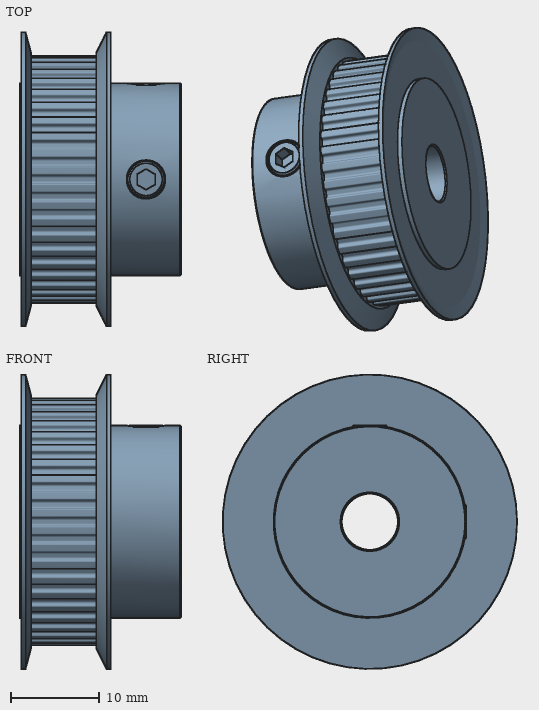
import cadquery as cq
import math


total_length = 18.27
front_flange_start = 0.15
front_recess_floor = 0.55
teeth_start = 1.27
teeth_end = 8.65
rear_flange_end = 10.32
flange_rim_width = 0.5
teeth_length = teeth_end - teeth_start

flange_radius = 16.7
flange_root_radius = 14.35
recess_radius = 15.25
hub_radius = 10.92
bore_radius = 3.17
hub_chamfer = 0.15
bore_chamfer = 0.17

tooth_count = 44
tip_radius = 14.03
groove_depth = 0.5
groove_floor_width = 0.75
groove_flank_angle = 20.0
groove_floor_fillet = 0.27
tooth_tip_fillet = 0.17

screw_angles = (0, -90)
screw_x = 14.3
screw_radius = 2.07
screw_chamfer = 0.25
screw_length = hub_radius - bore_radius
screw_hole_mouth_radius = 2.2
socket_width = 2.05
socket_depth = 2.0


def revolve_about_shaft(outline):
    return cq.Workplane("XY").polyline(outline).close().revolve(360, (0, 0, 0), (1, 0, 0))


def turn_about_shaft(body, angle):
    return body.rotate((0, 0, 0), (1, 0, 0), angle)


def make_turned_body():
    """Boss, both flanges, tooth core and hub, without the bore."""
    front_rim_end = front_flange_start + flange_rim_width
    rear_rim_start = rear_flange_end - flange_rim_width
    return revolve_about_shaft([
        (0, 0),
        (0, hub_radius),
        (front_recess_floor, hub_radius),
        (front_recess_floor, recess_radius),
        (front_flange_start, flange_radius),
        (front_rim_end, flange_radius),
        (teeth_start, flange_root_radius),
        (teeth_start, hub_radius),
        (teeth_end, hub_radius),
        (teeth_end, flange_root_radius),
        (rear_rim_start, flange_radius),
        (rear_flange_end, flange_radius),
        (rear_flange_end, hub_radius),
        (total_length - hub_chamfer, hub_radius),
        (total_length, hub_radius - hub_chamfer),
        (total_length, 0),
    ])


def make_groove_cutter():
    """Bar shaped like one groove at +Z, reaching past the tooth tips."""
    cutter_height = 2 * groove_depth
    floor_z = tip_radius - groove_depth
    top_z = floor_z + cutter_height
    floor_half_width = groove_floor_width / 2
    top_half_width = floor_half_width + cutter_height * math.tan(math.radians(groove_flank_angle))
    outline = [
        (-top_half_width, top_z),
        (-floor_half_width, floor_z),
        (floor_half_width, floor_z),
        (top_half_width, top_z),
    ]
    bar = cq.Workplane("YZ", origin=(teeth_start, 0, 0)).polyline(outline).close().extrude(teeth_length)
    return bar.faces("<Z").edges("|X").fillet(groove_floor_fillet)


def is_tip_corner(edge):
    """True for an edge on the tip circle rather than down in a groove."""
    centre = edge.Center()
    return math.hypot(centre.y, centre.z) > tip_radius - groove_depth / 2


def make_toothed_ring():
    ring = cq.Workplane("YZ", origin=(teeth_start, 0, 0)).circle(tip_radius).extrude(teeth_length)
    cutter = make_groove_cutter()
    for index in range(tooth_count):
        ring = ring.cut(turn_about_shaft(cutter, index * 360 / tooth_count))
    return ring.edges("|X").filter(is_tip_corner).fillet(tooth_tip_fillet)


def make_bore():
    """Through bore with a chamfer at each end."""
    mouth_radius = bore_radius + bore_chamfer
    return revolve_about_shaft([
        (0, 0),
        (0, mouth_radius),
        (bore_chamfer, bore_radius),
        (total_length - bore_chamfer, bore_radius),
        (total_length, mouth_radius),
        (total_length, 0),
    ])


def make_screw_hole():
    """Hole from the shaft axis to the hub surface at +Z, with a countersunk mouth."""
    countersink_depth = screw_hole_mouth_radius - screw_radius
    mouth_z = math.sqrt(hub_radius**2 - screw_hole_mouth_radius**2)
    outline = [
        (0, 0),
        (screw_radius, 0),
        (screw_radius, mouth_z - countersink_depth),
        (screw_hole_mouth_radius, mouth_z),
        (screw_hole_mouth_radius, hub_radius),
        (0, hub_radius),
    ]
    hole = cq.Workplane("XZ").polyline(outline).close().revolve(360, (0, 0, 0), (0, 1, 0))
    return hole.translate((screw_x, 0, 0))


def make_pulley():
    body = make_turned_body().union(make_toothed_ring()).cut(make_bore())
    hole = make_screw_hole()
    for angle in screw_angles:
        body = body.cut(turn_about_shaft(hole, angle))
    return body


def make_set_screw(angle):
    """Screw from the bore to the top of the hub, with a hexagon socket."""
    screw = cq.Workplane("XY").circle(screw_radius).extrude(screw_length)
    screw = screw.faces(">Z").edges().chamfer(screw_chamfer)
    socket_corner_diameter = socket_width / math.cos(math.radians(30))
    socket = (
        cq.Workplane("XY", origin=(0, 0, screw_length - socket_depth))
        .polygon(6, socket_corner_diameter)
        .extrude(socket_depth)
        .rotate((0, 0, 0), (0, 0, 1), 30)
    )
    screw = screw.cut(socket).translate((screw_x, 0, bore_radius))
    return turn_about_shaft(screw, angle)


pulley = make_pulley()
set_screws = [make_set_screw(angle) for angle in screw_angles]

result = cq.Compound.makeCompound([pulley.val(), *[screw.val() for screw in set_screws]])